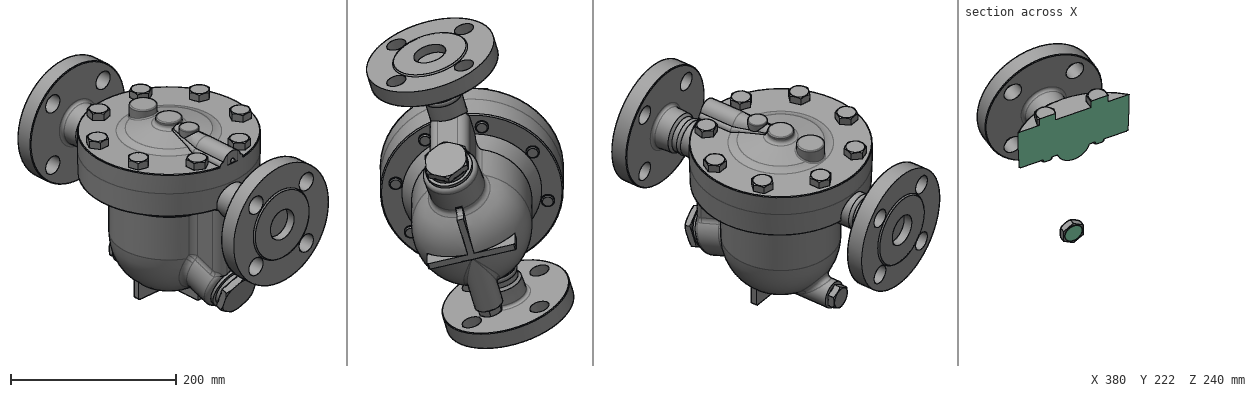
import cadquery as cq
import math


INLET_FACE_X = -182.5
OUTLET_FACE_X = 197.5
PIPE_FLANGE_DIA = 160.0
PIPE_FLANGE_THICKNESS = 22.0
PIPE_FLANGE_CHAMFER = 1.0
RAISED_FACE_BASE_DIA = 94.0
RAISED_FACE_DIA = 91.0
RAISED_FACE_HEIGHT = 2.0
BORE_DIA = 40.0
BORE_DEPTH = 11.5
PIPE_HOLE_COUNT = 4
PIPE_HOLE_DIA = 24.0
PIPE_HOLE_CIRCLE_DIA = 120.0

HUB_FILLET = 4.0
HUB_ROOT_DIA = 54.4
HUB_TIP_DIA = 52.0
HUB_LENGTH = 23.0
SHOULDER_LENGTH = 3.5
GROOVE_DIA = 45.9
GROOVE_LENGTH = 7.0
WELD_BEAD_LENGTH = 6.0
WELD_BEAD_RISE = 1.1
PIPE_DIA = 46.0
PIPE_INNER_END_X = 60.0

BODY_RADIUS = 73.0
BODY_BOTTOM_Z = -160.0
SPHERE_Z = BODY_BOTTOM_Z + BODY_RADIUS
NECK_BOTTOM_Z = -28.0
NECK_TOP_RADIUS_X = 81.0
NECK_TOP_RADIUS_Y = 85.0
BODY_FLANGE_BOTTOM_Z = -7.0
BODY_FLANGE_BOTTOM_RADIUS_X = 109.2
BODY_FLANGE_CHAMFER = 1.5

COVER_RADIUS = 111.0
COVER_BOTTOM_Z = 25.6
COVER_TOP_Z = 52.0
COVER_CHAMFER = 1.0
DOME_BASE_RADIUS = 64.0
DOME_EDGE_RADIUS = 53.0
DOME_EDGE_Z = 55.7
DOME_TIP_RADIUS = 21.0
DOME_TIP_Z = 62.5
DOME_EDGE_SAG = 0.4
BOSS_TOP_Z = 71.3

SIDE_BOSS_X = -44.8
SIDE_BOSS_DIA = 34.0
SIDE_BOSS_ROOT_FILLET = 1.5
BOSS_EDGE_FILLET = 1.5
CENTRE_BOSS_DIA = 32.0
CENTRE_BOSS_ROOT_FILLET = 5.0
PLUG_X = 35.0
PLUG_DIA = 24.0
PLUG_EDGE_FILLET = 1.0

CHANNEL_RADIUS = 15.25
CHANNEL_AXIS_Z = 53.0
CHANNEL_TOP_Z = CHANNEL_AXIS_Z + CHANNEL_RADIUS
CHANNEL_TIP_X = 16.0
CHANNEL_TIP_SHOULDER_Z = 64.0
CHANNEL_TIP_SHOULDER_HALF = 8.5
CHANNEL_TIP_FOOT_HALF = 10.0
CHANNEL_TAPER_END_X = 62.0
CHANNEL_END_X = 110.7
CHANNEL_SHOULDER_Z = 57.5
CHANNEL_FOOT_HALF = 19.4
CHANNEL_FOOT_SAG = 1.2
NUB_RADIUS = 3.0
NUB_Z = 54.5

BOLT_COUNT = 8
BOLT_FIRST_ANGLE = 22.5
BOLT_CIRCLE_RADIUS = 93.0
BOLT_FLATS = 24.0
BOLT_HEAD_HEIGHT = 10.3
BOLT_TOP_DIA = 23.0
HEAD_CHAMFER_ANGLE = 30.0
BOLT_DIA = 16.0
BOLT_END_Z = -11.0
BOLT_END_CHAMFER = 1.5

DUCT_WIDTH = 49.5
DUCT_OUTER_X = 114.0
DUCT_CORNER_RADIUS = 12.5
BRANCH_FILLET = 10.0
DUCT_BOTTOM_Z = -98.0

ROOT_MIN_X = 50.0
ROOT_MAX_X = 78.0
SEAM_MAX_X = 95.0
SEAM_MIN_Z = -92.0
SEAM_MAX_Z = -75.0
DRAIN_ROOT_MIN_X = -70.0
DRAIN_ROOT_MAX_Z = -97.0
BOUND_MARGIN = 1.0

STRAINER_SLOPE = 20.0
STRAINER_OFFSET = 3.5
STRAINER_DIA = 68.0
STRAINER_LENGTH = 110.0
STRAINER_EDGE_FILLET = 6.5
CAP_COLLAR_DIA = 58.0
CAP_COLLAR_END = 114.0
CAP_NECK_DIA = 49.5
CAP_NECK_END = 119.5
CAP_FLATS = 50.0
CAP_TOP_DIA = 52.0
CAP_END = 129.0

DRAIN_DIA = 35.0
DRAIN_RISE = 0.1
DRAIN_AXIS_Z = BODY_BOTTOM_Z + DRAIN_DIA / 2 + DRAIN_RISE
DRAIN_FILLET = 6.0
DRAIN_END_X = -80.0
DRAIN_PLUG_FLATS = 27.0
DRAIN_PLUG_TOP_DIA = 26.0
DRAIN_PLUG_END_X = -90.6
DRAIN_PLUG_NECK_DIA = 24.0
DRAIN_PLUG_NECK_LENGTH = 1.0

FOOT_THICKNESS = 8.0
FOOT_HALF_WIDTH = 55.0
FOOT_TOP_Z = -134.4
FOOT_CHAMFER = 1.5
WEB_END_X = 54.5
WEB_TOP_Z = -130.0
WEB_ARC_TOP_Z = -144.5
WEB_ARC_RADIUS = 7.0


def corner_diameter(across_flats):
    return across_flats / math.cos(math.radians(30))


def hexagon_head(across_flats, height, top_diameter):
    """Hexagon standing on the XY plane, its top corners cut by a cone."""
    corner_dia = corner_diameter(across_flats)
    chamfer_run = (corner_dia - top_diameter) / 2
    chamfer_rise = chamfer_run * math.tan(math.radians(HEAD_CHAMFER_ANGLE))
    cone = cq.Workplane("XY").circle(corner_dia / 2).extrude(height)
    cone = cone.faces(">Z").chamfer(chamfer_rise, chamfer_run)
    return cq.Workplane("XY").polygon(6, corner_dia).extrude(height).intersect(cone)


def cylinder_x(start_x, end_x, diameter, z=0.0):
    return cq.Workplane("YZ", origin=(start_x, 0, z)).circle(diameter / 2).extrude(end_x - start_x)


def make_body():
    """Revolved pot: hemispherical bottom and cylinder up to the body flange."""
    profile = (
        cq.Workplane("XZ")
        .moveTo(0, BODY_BOTTOM_Z)
        .radiusArc((BODY_RADIUS, SPHERE_Z), -BODY_RADIUS)
        .lineTo(BODY_RADIUS, BODY_FLANGE_BOTTOM_Z)
        .lineTo(0, BODY_FLANGE_BOTTOM_Z)
        .close()
    )
    return profile.revolve(360, (0, 0, 0), (0, 1, 0))


def level_plane(z):
    """Horizontal plane whose local x axis runs along Y, the long way of the ellipses."""
    return cq.Workplane(cq.Plane(origin=(0, 0, z), xDir=(0, 1, 0), normal=(0, 0, 1)))


def make_neck():
    """Neck that widens from the round body to an ellipse under the body flange."""
    return (
        level_plane(NECK_BOTTOM_Z)
        .circle(BODY_RADIUS)
        .workplane(offset=BODY_FLANGE_BOTTOM_Z - NECK_BOTTOM_Z)
        .ellipse(NECK_TOP_RADIUS_Y, NECK_TOP_RADIUS_X)
        .loft(combine=True)
    )


def make_body_flange():
    """Flange that narrows downward along X only, from a circle to an ellipse."""
    flange = (
        level_plane(BODY_FLANGE_BOTTOM_Z)
        .ellipse(COVER_RADIUS, BODY_FLANGE_BOTTOM_RADIUS_X)
        .workplane(offset=COVER_BOTTOM_Z - BODY_FLANGE_BOTTOM_Z)
        .circle(COVER_RADIUS)
        .loft(combine=True)
    )
    return flange.faces("<Z").edges().chamfer(BODY_FLANGE_CHAMFER)


def make_cover():
    """Revolved cover: flat rim and a shallow conical dome with a concave foot."""
    profile = (
        cq.Workplane("XZ")
        .moveTo(0, COVER_BOTTOM_Z)
        .lineTo(COVER_RADIUS, COVER_BOTTOM_Z)
        .lineTo(COVER_RADIUS, COVER_TOP_Z - COVER_CHAMFER)
        .lineTo(COVER_RADIUS - COVER_CHAMFER, COVER_TOP_Z)
        .lineTo(DOME_BASE_RADIUS, COVER_TOP_Z)
        .sagittaArc((DOME_EDGE_RADIUS, DOME_EDGE_Z), DOME_EDGE_SAG)
        .lineTo(DOME_TIP_RADIUS, DOME_TIP_Z)
        .lineTo(0, DOME_TIP_Z)
        .close()
    )
    return profile.revolve(360, (0, 0, 0), (0, 1, 0))


def make_side_boss():
    height = BOSS_TOP_Z - COVER_BOTTOM_Z
    base = cq.Workplane("XY", origin=(SIDE_BOSS_X, 0, COVER_BOTTOM_Z))
    boss = base.circle(SIDE_BOSS_DIA / 2).extrude(height)
    return boss.faces(">Z").edges().fillet(BOSS_EDGE_FILLET)


def make_cover_with_side_boss():
    """Cover and side boss, with a small fillet round the foot of the boss."""
    cover = make_cover().union(make_side_boss())
    reach = SIDE_BOSS_DIA / 2 + BOUND_MARGIN
    foot_edges = cq.selectors.BoxSelector(
        (SIDE_BOSS_X - reach, -reach, COVER_TOP_Z),
        (SIDE_BOSS_X + reach, reach, DOME_TIP_Z),
    )
    return cover.edges(foot_edges).fillet(SIDE_BOSS_ROOT_FILLET)


def make_centre_boss():
    """Round boss on the dome tip with a concave foot and a rounded top edge."""
    radius = CENTRE_BOSS_DIA / 2
    profile = (
        cq.Workplane("XZ")
        .moveTo(0, COVER_BOTTOM_Z)
        .lineTo(radius + CENTRE_BOSS_ROOT_FILLET, COVER_BOTTOM_Z)
        .lineTo(radius + CENTRE_BOSS_ROOT_FILLET, DOME_TIP_Z)
        .radiusArc((radius, DOME_TIP_Z + CENTRE_BOSS_ROOT_FILLET), CENTRE_BOSS_ROOT_FILLET)
        .lineTo(radius, BOSS_TOP_Z - BOSS_EDGE_FILLET)
        .radiusArc((radius - BOSS_EDGE_FILLET, BOSS_TOP_Z), -BOSS_EDGE_FILLET)
        .lineTo(0, BOSS_TOP_Z)
        .close()
    )
    return profile.revolve(360, (0, 0, 0), (0, 1, 0))


def make_channel_plug():
    height = BOSS_TOP_Z - COVER_TOP_Z
    plug = cq.Workplane("XY", origin=(PLUG_X, 0, COVER_TOP_Z)).circle(PLUG_DIA / 2).extrude(height)
    return plug.faces(">Z").edges().fillet(PLUG_EDGE_FILLET)


def channel_section(x, foot_half, foot_z, shoulder_half, shoulder_z):
    """Round-topped section with concave feet, standing in the plane at the given x."""
    return (
        cq.Workplane("YZ", origin=(x, 0, 0))
        .moveTo(-foot_half, COVER_BOTTOM_Z)
        .lineTo(-foot_half, foot_z)
        .sagittaArc((-shoulder_half, shoulder_z), CHANNEL_FOOT_SAG)
        .threePointArc((0, CHANNEL_TOP_Z), (shoulder_half, shoulder_z))
        .sagittaArc((foot_half, foot_z), CHANNEL_FOOT_SAG)
        .lineTo(foot_half, COVER_BOTTOM_Z)
        .close()
    )


def make_channel():
    """Round-topped channel that widens from the centre boss and runs to the cover rim."""
    shoulder_half = math.sqrt(CHANNEL_RADIUS**2 - (CHANNEL_SHOULDER_Z - CHANNEL_AXIS_Z) ** 2)
    wide_section = (CHANNEL_FOOT_HALF, COVER_TOP_Z, shoulder_half, CHANNEL_SHOULDER_Z)
    tip_section = (CHANNEL_TIP_FOOT_HALF, DOME_TIP_Z, CHANNEL_TIP_SHOULDER_HALF, CHANNEL_TIP_SHOULDER_Z)
    tip_wire = channel_section(CHANNEL_TIP_X, *tip_section).wire().val()
    wide_wire = channel_section(CHANNEL_TAPER_END_X, *wide_section).wire().val()
    taper = cq.Workplane(cq.Solid.makeLoft([tip_wire, wide_wire], True))
    straight_length = CHANNEL_END_X - CHANNEL_TAPER_END_X
    straight = channel_section(CHANNEL_TAPER_END_X, *wide_section).extrude(straight_length)
    rim = cq.Workplane("XY", origin=(0, 0, COVER_BOTTOM_Z)).circle(COVER_RADIUS)
    rim = rim.extrude(BOSS_TOP_Z - COVER_BOTTOM_Z)
    nub = cq.Workplane("XY", origin=(CHANNEL_END_X, 0, NUB_Z)).sphere(NUB_RADIUS)
    return taper.union(straight).intersect(rim).union(nub)


def make_bolts():
    """Hexagon bolts on a circle, each turned with its place on the circle."""
    head = hexagon_head(BOLT_FLATS, BOLT_HEAD_HEIGHT, BOLT_TOP_DIA)
    head = head.rotate((0, 0, 0), (0, 0, 1), BOLT_FIRST_ANGLE)
    head = head.translate((BOLT_CIRCLE_RADIUS, 0, COVER_TOP_Z))
    shank = (
        cq.Workplane("XY", origin=(BOLT_CIRCLE_RADIUS, 0, BOLT_END_Z))
        .circle(BOLT_DIA / 2)
        .extrude(COVER_TOP_Z - BOLT_END_Z)
        .faces("<Z")
        .edges()
        .chamfer(BOLT_END_CHAMFER)
    )
    bolt = head.union(shank)
    bolts = cq.Workplane("XY")
    for index in range(BOLT_COUNT):
        angle = BOLT_FIRST_ANGLE + index * 360 / BOLT_COUNT
        bolts = bolts.union(bolt.rotate((0, 0, 0), (0, 0, 1), angle))
    return bolts


def make_pipe_arm(face_x):
    """Pipe neck with its flange, built along +X and mirrored for the -X side."""
    face = abs(face_x)
    seat = face - RAISED_FACE_HEIGHT
    back = seat - PIPE_FLANGE_THICKNESS
    hub_end = back - HUB_LENGTH
    groove_start = hub_end - SHOULDER_LENGTH
    groove_end = groove_start - GROOVE_LENGTH
    bead_end = groove_end - WELD_BEAD_LENGTH
    rim = PIPE_FLANGE_DIA / 2
    profile = (
        cq.Workplane("XY")
        .moveTo(PIPE_INNER_END_X, 0)
        .lineTo(PIPE_INNER_END_X, PIPE_DIA / 2)
        .lineTo(bead_end, PIPE_DIA / 2)
        .sagittaArc((groove_end, GROOVE_DIA / 2), WELD_BEAD_RISE)
        .lineTo(groove_start, GROOVE_DIA / 2)
        .lineTo(hub_end, HUB_TIP_DIA / 2)
        .lineTo(back - HUB_FILLET, HUB_ROOT_DIA / 2)
        .radiusArc((back, HUB_ROOT_DIA / 2 + HUB_FILLET), -HUB_FILLET)
        .lineTo(back, rim - PIPE_FLANGE_CHAMFER)
        .lineTo(back + PIPE_FLANGE_CHAMFER, rim)
        .lineTo(seat, rim)
        .lineTo(seat, RAISED_FACE_BASE_DIA / 2)
        .lineTo(face, RAISED_FACE_DIA / 2)
        .lineTo(face, BORE_DIA / 2)
        .lineTo(face - BORE_DEPTH, BORE_DIA / 2)
        .lineTo(face - BORE_DEPTH, 0)
        .close()
    )
    arm = profile.revolve(360, (0, 0, 0), (1, 0, 0))
    holes = (
        cq.Workplane("YZ", origin=(back, 0, 0))
        .polarArray(PIPE_HOLE_CIRCLE_DIA / 2, 180 / PIPE_HOLE_COUNT, 360, PIPE_HOLE_COUNT)
        .circle(PIPE_HOLE_DIA / 2)
        .extrude(PIPE_FLANGE_THICKNESS)
    )
    arm = arm.cut(holes)
    return arm.mirror("YZ") if face_x < 0 else arm


def make_duct():
    """Vertical duct beside the body with rounded outer corners."""
    top_z = BODY_FLANGE_BOTTOM_Z
    duct = (
        cq.Workplane("XY", origin=(0, 0, DUCT_BOTTOM_Z))
        .center(DUCT_OUTER_X / 2, 0)
        .rect(DUCT_OUTER_X, DUCT_WIDTH)
        .extrude(top_z - DUCT_BOTTOM_Z)
    )
    return duct.edges("|Z and >X").fillet(DUCT_CORNER_RADIUS)


def tilt_to_strainer(shape):
    """Turn a shape built upward along Z from the origin onto the strainer axis."""
    shifted = shape.translate((-STRAINER_OFFSET, 0, 0))
    return shifted.rotate((0, 0, 0), (0, 1, 0), 90 + STRAINER_SLOPE).translate((0, 0, SPHERE_Z))


def make_strainer_branch():
    branch = cq.Workplane("XY").circle(STRAINER_DIA / 2).extrude(STRAINER_LENGTH)
    return tilt_to_strainer(branch.faces(">Z").edges().fillet(STRAINER_EDGE_FILLET))


def make_strainer_cap():
    """Collar, neck and hexagon cap on the end of the strainer branch."""
    collar = cq.Workplane("XY").circle(CAP_COLLAR_DIA / 2).extrude(CAP_COLLAR_END)
    neck = cq.Workplane("XY").circle(CAP_NECK_DIA / 2).extrude(CAP_NECK_END)
    head = hexagon_head(CAP_FLATS, CAP_END - CAP_NECK_END, CAP_TOP_DIA)
    return tilt_to_strainer(collar.union(neck).union(head.translate((0, 0, CAP_NECK_END))))


def make_drain_branch():
    return cylinder_x(DRAIN_END_X, 0, DRAIN_DIA, DRAIN_AXIS_Z)


def make_drain_plug():
    """Hexagon plug screwed into the drain branch."""
    neck_x = DRAIN_END_X - DRAIN_PLUG_NECK_LENGTH
    neck = cylinder_x(neck_x, DRAIN_END_X, DRAIN_PLUG_NECK_DIA, DRAIN_AXIS_Z)
    head = hexagon_head(DRAIN_PLUG_FLATS, neck_x - DRAIN_PLUG_END_X, DRAIN_PLUG_TOP_DIA)
    head = head.rotate((0, 0, 0), (0, 1, 0), -90).translate((neck_x, 0, DRAIN_AXIS_Z))
    return head.union(neck)


def make_feet():
    """Cross foot along Y and a web along +X that meets the strainer branch in an arc."""
    cross = (
        cq.Workplane("XY", origin=(0, 0, BODY_BOTTOM_Z))
        .rect(FOOT_THICKNESS, 2 * FOOT_HALF_WIDTH)
        .extrude(FOOT_TOP_Z - BODY_BOTTOM_Z)
        .edges("|X and <Z")
        .chamfer(FOOT_CHAMFER)
    )
    web = (
        cq.Workplane("XZ", origin=(0, FOOT_THICKNESS / 2, 0))
        .moveTo(0, BODY_BOTTOM_Z)
        .lineTo(WEB_END_X, BODY_BOTTOM_Z)
        .lineTo(WEB_END_X, WEB_ARC_TOP_Z - WEB_ARC_RADIUS)
        .radiusArc((WEB_END_X + WEB_ARC_RADIUS, WEB_ARC_TOP_Z), WEB_ARC_RADIUS)
        .lineTo(WEB_END_X + WEB_ARC_RADIUS, WEB_TOP_Z)
        .lineTo(0, WEB_TOP_Z)
        .close()
        .extrude(FOOT_THICKNESS)
    )
    return cross.union(web)


def make_casting():
    """Body, outlet duct, strainer branch and drain branch, blended where they meet."""
    box = cq.selectors.BoxSelector
    reach = STRAINER_DIA / 2 + BOUND_MARGIN
    floor_z = BODY_BOTTOM_Z - BOUND_MARGIN
    ceiling_z = BODY_FLANGE_BOTTOM_Z - BOUND_MARGIN
    root_edges = box((ROOT_MIN_X, -reach, floor_z), (ROOT_MAX_X, reach, ceiling_z))
    seam_edges = box((ROOT_MAX_X, -reach, SEAM_MIN_Z), (SEAM_MAX_X, reach, SEAM_MAX_Z))
    drain_edges = box((DRAIN_ROOT_MIN_X, -reach, floor_z), (-BOUND_MARGIN, reach, DRAIN_ROOT_MAX_Z))
    casting = make_body().union(make_duct()).union(make_strainer_branch())
    casting = casting.edges(root_edges + seam_edges).fillet(BRANCH_FILLET)
    casting = casting.union(make_drain_branch())
    return casting.edges(drain_edges).fillet(DRAIN_FILLET)


result = make_casting().union(make_neck()).union(make_body_flange()).union(make_cover_with_side_boss())
features = [
    make_strainer_cap(),
    make_drain_plug(),
    make_feet(),
    make_pipe_arm(INLET_FACE_X),
    make_pipe_arm(OUTLET_FACE_X),
    make_channel(),
    make_channel_plug(),
    make_centre_boss(),
    make_bolts(),
]
for feature in features:
    result = result.union(feature)